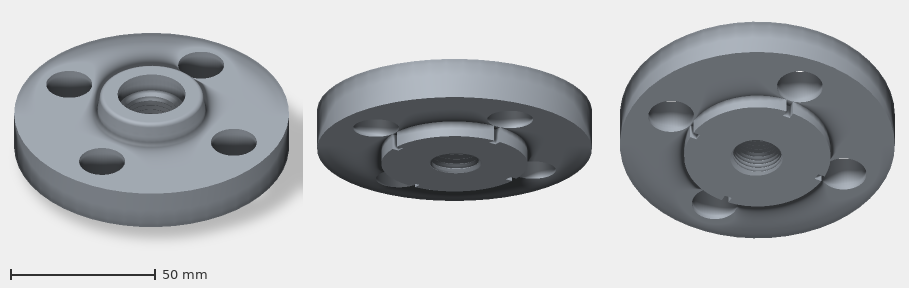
import cadquery as cq
import math

FLANGE_DIAMETER = 95.2
FLANGE_THICKNESS = 14.3

HUB_HEIGHT = 8.1
HUB_BASE_RADIUS = 19.0
HUB_DRAFT_DEG = 9.0
HUB_EDGE_RADIUS = 1.5
HUB_ROOT_RADIUS = 1.4
SELECTION_MARGIN = 0.95

BOLT_COUNT = 4
BOLT_CIRCLE_DIAMETER = 66.6
BOLT_HOLE_DIAMETER = 15.9

FACE_DIAMETER = 50.75
FACE_HEIGHT = 5.5
NOTCH_COUNT = 4
NOTCH_WIDTH = 2.6
NOTCH_DEPTH = NOTCH_WIDTH

COUNTERBORE_DIAMETER = 23.5
COUNTERBORE_DEPTH = 6.7
THREAD_PITCH = 1.8
THREAD_CREST_FLAT = 0.1
THREAD_FLANK_DEG = 30.0
THREAD_OVERLAP = 0.1
BORE_BOTTOM_RADIUS = 8.4
BORE_TAPER = 1 / 32
THREAD_ROOT_DIRECTION_DEG = 90.0

HUB_TOP_Z = FLANGE_THICKNESS + HUB_HEIGHT
BOTTOM_Z = -FACE_HEIGHT
COUNTERBORE_FLOOR_Z = HUB_TOP_Z - COUNTERBORE_DEPTH


def bore_radius(z):
    """Radius of the thread crests at height z."""
    return BORE_BOTTOM_RADIUS + (z - BOTTOM_Z) * BORE_TAPER


def make_body():
    """Raised face, plate and hub turned as one blank, with the hub edges rounded."""
    hub_top_radius = HUB_BASE_RADIUS - HUB_HEIGHT * math.tan(math.radians(HUB_DRAFT_DEG))
    outline = [
        (0, BOTTOM_Z),
        (FACE_DIAMETER / 2, BOTTOM_Z),
        (FACE_DIAMETER / 2, 0),
        (FLANGE_DIAMETER / 2, 0),
        (FLANGE_DIAMETER / 2, FLANGE_THICKNESS),
        (HUB_BASE_RADIUS, FLANGE_THICKNESS),
        (hub_top_radius, HUB_TOP_Z),
        (0, HUB_TOP_Z),
    ]
    body = cq.Workplane("XZ").polyline(outline).close().revolve(360, (0, 0), (0, 1))
    body = body.faces(">Z").edges().fillet(HUB_EDGE_RADIUS)
    reach = HUB_BASE_RADIUS + SELECTION_MARGIN
    hub_root = cq.selectors.BoxSelector(
        (-reach, -reach, FLANGE_THICKNESS - SELECTION_MARGIN),
        (reach, reach, FLANGE_THICKNESS + SELECTION_MARGIN),
        boundingbox=True,
    )
    return body.edges(hub_root).fillet(HUB_ROOT_RADIUS)


def make_bolt_holes():
    return (
        cq.Workplane("XY")
        .polarArray(BOLT_CIRCLE_DIAMETER / 2, 0, 360, BOLT_COUNT)
        .circle(BOLT_HOLE_DIAMETER / 2)
        .extrude(FLANGE_THICKNESS)
    )


def make_notches():
    """Flat-backed notches over the full height of the raised face."""
    return (
        cq.Workplane("XY", origin=(0, 0, BOTTOM_Z))
        .polarArray(FACE_DIAMETER / 2, 0, 360, NOTCH_COUNT)
        .rect(2 * NOTCH_DEPTH, NOTCH_WIDTH)
        .extrude(FACE_HEIGHT)
    )


def make_bore():
    """Counterbore above a tapered bore at the thread crests."""
    profile = [
        (0, BOTTOM_Z),
        (BORE_BOTTOM_RADIUS, BOTTOM_Z),
        (bore_radius(COUNTERBORE_FLOOR_Z), COUNTERBORE_FLOOR_Z),
        (COUNTERBORE_DIAMETER / 2, COUNTERBORE_FLOOR_Z),
        (COUNTERBORE_DIAMETER / 2, HUB_TOP_Z),
        (0, HUB_TOP_Z),
    ]
    return cq.Workplane("XZ").polyline(profile).close().revolve(360, (0, 0), (0, 1))


def make_thread():
    """V-shaped cutter swept along a right-hand helix on the tapered bore."""
    turns = math.ceil((COUNTERBORE_FLOOR_Z - BOTTOM_Z) / THREAD_PITCH) + 2
    end_z = COUNTERBORE_FLOOR_Z + THREAD_PITCH
    start_z = end_z - turns * THREAD_PITCH
    start_radius = bore_radius(start_z)
    half_width = (THREAD_PITCH - THREAD_CREST_FLAT) / 2
    depth = half_width / math.tan(math.radians(THREAD_FLANK_DEG))
    helix = cq.Wire.makeHelix(
        THREAD_PITCH,
        turns * THREAD_PITCH,
        start_radius,
        center=cq.Vector(0, 0, start_z),
        angle=math.degrees(math.atan(BORE_TAPER)),
    )
    profile = [
        (start_radius - THREAD_OVERLAP, start_z - half_width),
        (start_radius, start_z - half_width),
        (start_radius + depth, start_z),
        (start_radius, start_z + half_width),
        (start_radius - THREAD_OVERLAP, start_z + half_width),
    ]
    cutter = cq.Workplane("XZ").polyline(profile).close().sweep(cq.Workplane(helix), isFrenet=True)
    return cutter.rotate((0, 0, 0), (0, 0, 1), THREAD_ROOT_DIRECTION_DEG)


result = (
    make_body()
    .cut(make_bolt_holes())
    .cut(make_notches())
    .cut(make_bore())
    .cut(make_thread())
)